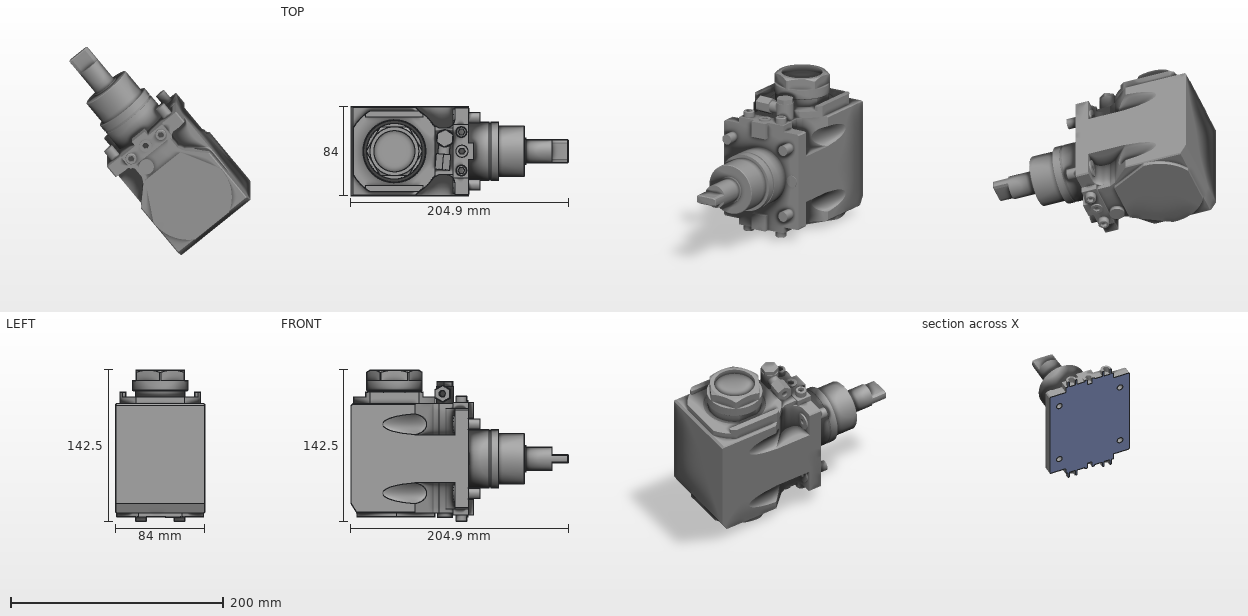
import cadquery as cq
import math


hexagon_half_angle = 30.0

housing_left = -110.5
half_width = 42.0
housing_top = 52.1
housing_bottom = -51.3
end_face_bevel = 2.0
side_bevel = 1.0
corner_cut_x = 5.6
corner_cut_z = 9.3

spindle_x = -69.6

flange_thickness = 12.7
flange_half_height = 47.2
flange_bevel = 1.2
rib_half_height = 22.5
recess_start_x = -50.3
neck_bend_x = -33.3
neck_start_x = -27.5
neck_half_width = 22.0
neck_fillet = 8.3
recess_height = 40.0

groove_radius = 10.0
groove_angle = 15.0
groove_tip_x = -80.6
groove_z = 32.5
groove_end_x = -28.0

plate_half_length = 38.3
plate_half_width = 38.1
plate_corner_radius = 44.5
plate_top = 58.2
rail_top = 62.7
rail_half_length = 27.0
rail_inner_y = 32.4
bore_radius = 29.0
bore_bevel = 0.7
bore_floor = 57.0

cover_radius = 41.0
cover_taper_start = -67.8
cover_right_half_width = 21.3
cover_left = -105.0
cover_right = -31.4
cover_bottom = -54.8

key_left = -14.6
key_half_width = 25.0
key_outer_z = 53.2
tongue_length = 5.0
tongue_half_width = 7.8
tongue_inner_z = 38.0
key_screw_x = -6.5
key_screw_y = 18.1
key_screw_radius = 5.1
key_screw_top = 59.0
key_screw_bevel = 0.5
key_socket_size = 5.5
key_socket_depth = 6.0
set_screw_x = -6.0
set_screw_radius = 5.7
set_screw_height = 1.5

dowel_y = 34.7
dowel_radius = 5.6
dowel_height = 0.6
flange_screw_y = 31.7
flange_screw_z = 32.6
flange_screw_radius = 4.9
flange_screw_length = 11.2
head_radius = 8.0
head_height = 1.5
head_socket_radius = 2.7

shank_radius = 27.5
ring_groove_radius = 26.8
ring_groove_start = 19.3
ring_groove_end = 21.4
shank_step = 28.5
pilot_radius = 24.0
pilot_end = 53.0
pilot_bevel = 0.6
collar_radius = 12.7
collar_end = 54.3
shaft_radius = 11.0
shaft_end = 79.0
tang_end = 94.4
tang_half_height = 4.1
tang_edge_half_height = 3.1
tang_flat_half_width = 7.7
tang_end_bevel = 0.8

fitting_x = -22.0
fitting_y = 12.2
banjo_radius = 8.1
banjo_top = 68.3
fitting_head_top = 72.6
fitting_head_size = 14.4
pipe_radius = 5.4
pipe_z = 61.3
pipe_angle = 5.0
pipe_nut_start = 15.0
pipe_nut_end = 29.7
pipe_nut_size = 13.6
pipe_bore_radius = 3.0
pipe_bore_depth = 12.0
plug_radius = 7.1
plug_bottom = -55.2

nut_top = 83.5
nut_hex_bottom = 73.6
nut_hex_size = 46.0
nut_corner_radius = 26.2
nut_crown_radius = 23.0
nut_crown_height = 2.0
nut_collar_bottom = 64.0
nut_collar_bevel = 0.8
nut_neck_half_width = 23.3
nut_pocket_radius = 19.4
nut_pocket_depth = 5.0


def box(x0, x1, y0, y1, z0, z1):
    return cq.Workplane("XY").box(x1 - x0, y1 - y0, z1 - z0, centered=False).translate((x0, y0, z0))


def disc(x, y, radius, z0, z1):
    return cq.Workplane("XY", origin=(x, y, z0)).circle(radius).extrude(z1 - z0)


def rod(y, z, radius, x0, x1):
    return cq.Workplane("YZ", origin=(x0, y, z)).circle(radius).extrude(x1 - x0)


def hex_corners(size):
    """Corner diameter of a hexagon of the given width across flats."""
    return size / math.cos(math.radians(hexagon_half_angle))


def make_block():
    block = box(housing_left, 0, -half_width, half_width, housing_bottom, housing_top)
    block = block.edges("|X").chamfer(side_bevel)
    block = block.faces("<X").edges(">Z").chamfer(end_face_bevel)
    corner = (
        cq.Workplane("XZ", origin=(0, half_width, 0))
        .moveTo(housing_left, housing_bottom)
        .lineTo(housing_left + corner_cut_x, housing_bottom)
        .lineTo(housing_left, housing_bottom + corner_cut_z)
        .close()
        .extrude(2 * half_width)
    )
    return block.cut(corner)


def make_side_recess():
    """Recess beside the neck, above the rib, on the -Y side."""
    bend_y = -half_width + (neck_bend_x - recess_start_x)
    flange_x = -flange_thickness
    return (
        cq.Workplane("XY", origin=(0, 0, rib_half_height))
        .moveTo(recess_start_x, -half_width)
        .lineTo(neck_bend_x, bend_y)
        .lineTo(neck_start_x, -neck_half_width)
        .lineTo(flange_x - neck_fillet, -neck_half_width)
        .radiusArc((flange_x, -neck_half_width - neck_fillet), neck_fillet)
        .lineTo(flange_x, -half_width)
        .close()
        .extrude(recess_height)
    )


def make_flange_top_step():
    """Material removed so that the flange stays lower than the block."""
    step = box(-flange_thickness, 0, -half_width, half_width, flange_half_height, housing_top)
    neck_side = box(
        -flange_thickness - neck_fillet, 0, -half_width, -neck_half_width, flange_half_height, housing_top
    )
    return step.union(neck_side).union(neck_side.mirror("XZ"))


def make_flange_bevel():
    return (
        cq.Workplane("YZ", origin=(-flange_thickness, 0, 0))
        .moveTo(-half_width, flange_half_height)
        .lineTo(-half_width + flange_bevel, flange_half_height)
        .lineTo(-half_width, flange_half_height - flange_bevel)
        .close()
        .extrude(flange_thickness)
    )


def make_tool_groove():
    """Slanted round groove that clears the driver of a flange screw."""
    slant = math.radians(groove_angle)
    axis_x = groove_tip_x + groove_radius / math.sin(slant)
    length = 2 * (axis_x - groove_tip_x)
    direction = cq.Vector(math.cos(slant), math.sin(slant), 0)
    start = cq.Vector(axis_x, -half_width, groove_z) - direction * length
    groove = cq.Workplane(cq.Solid.makeCylinder(groove_radius, 2 * length, start, direction))
    reach = box(
        groove_tip_x, groove_end_x, -half_width, -neck_half_width,
        groove_z - groove_radius, groove_z + groove_radius,
    )
    return groove.intersect(reach)


def make_cover_plate():
    height = rail_top - housing_top
    outline = cq.Workplane("XY", origin=(spindle_x, 0, housing_top)).rect(
        2 * plate_half_length, 2 * plate_half_width
    ).extrude(height)
    plate = outline.intersect(disc(spindle_x, 0, plate_corner_radius, housing_top, rail_top))
    left = spindle_x - plate_half_length
    right = spindle_x + plate_half_length
    plate = plate.cut(box(left, right, -rail_inner_y, rail_inner_y, plate_top, rail_top))
    for x0, x1 in ((left, spindle_x - rail_half_length), (spindle_x + rail_half_length, right)):
        plate = plate.cut(box(x0, x1, -plate_half_width, plate_half_width, plate_top, rail_top))
    return plate


def make_spindle_bore():
    bore = disc(spindle_x, 0, bore_radius, bore_floor, plate_top)
    lead_in = cq.Workplane(
        cq.Solid.makeCone(
            bore_radius, bore_radius + bore_bevel, bore_bevel, cq.Vector(spindle_x, 0, plate_top - bore_bevel)
        )
    )
    return bore.union(lead_in)


def make_bottom_cover():
    def rim_y(x):
        return math.sqrt(cover_radius**2 - (x - spindle_x) ** 2)

    left_y = rim_y(cover_left)
    taper_y = rim_y(cover_taper_start)
    return (
        cq.Workplane("XY", origin=(0, 0, cover_bottom))
        .moveTo(cover_left, -left_y)
        .radiusArc((cover_taper_start, -taper_y), -cover_radius)
        .lineTo(cover_right, -cover_right_half_width)
        .lineTo(cover_right, cover_right_half_width)
        .lineTo(cover_taper_start, taper_y)
        .radiusArc((cover_left, left_y), -cover_radius)
        .close()
        .extrude(housing_bottom - cover_bottom)
    )


def make_key_block():
    """Upper key block with its tongue and screws."""
    key = box(key_left, 0, -key_half_width, key_half_width, flange_half_height, key_outer_z)
    key = key.union(
        box(
            -flange_thickness, tongue_length, -tongue_half_width, tongue_half_width,
            tongue_inner_z, key_outer_z,
        )
    )
    set_screw_top = key_outer_z + set_screw_height
    key = key.union(disc(set_screw_x, 0, set_screw_radius, key_outer_z, set_screw_top))
    sockets = [(set_screw_x, 0, set_screw_top)]
    for y in (-key_screw_y, key_screw_y):
        screw = disc(key_screw_x, y, key_screw_radius, key_outer_z, key_screw_top)
        key = key.union(screw.faces(">Z").chamfer(key_screw_bevel))
        sockets.append((key_screw_x, y, key_screw_top))
    for socket in sockets:
        outline = cq.Workplane("XY", origin=socket).polygon(6, hex_corners(key_socket_size))
        key = key.cut(outline.extrude(-key_socket_depth))
    return key


def make_flange_screw(y, z):
    shaft = rod(y, z, flange_screw_radius, -flange_thickness, flange_screw_length)
    head = rod(y, z, head_radius, -flange_thickness - head_height, -flange_thickness)
    return shaft.union(head)


def make_flange_socket(y, z):
    return rod(y, z, head_socket_radius, -flange_thickness - head_height, 0)


def make_shank():
    return (
        cq.Workplane("XY")
        .moveTo(-flange_thickness, 0)
        .lineTo(-flange_thickness, shank_radius)
        .lineTo(ring_groove_start, shank_radius)
        .lineTo(ring_groove_start, ring_groove_radius)
        .lineTo(ring_groove_end, ring_groove_radius)
        .lineTo(ring_groove_end, shank_radius)
        .lineTo(shank_step, shank_radius)
        .lineTo(shank_step, pilot_radius)
        .lineTo(pilot_end - pilot_bevel, pilot_radius)
        .lineTo(pilot_end, pilot_radius - pilot_bevel)
        .lineTo(pilot_end, collar_radius)
        .lineTo(collar_end, collar_radius)
        .lineTo(collar_end, shaft_radius)
        .lineTo(shaft_end, shaft_radius)
        .lineTo(shaft_end, 0)
        .close()
        .revolve(360, (0, 0, 0), (1, 0, 0))
    )


def make_tang():
    outline = [
        (-shaft_radius, -tang_edge_half_height),
        (-tang_flat_half_width, -tang_half_height),
        (tang_flat_half_width, -tang_half_height),
        (shaft_radius, -tang_edge_half_height),
        (shaft_radius, tang_edge_half_height),
        (tang_flat_half_width, tang_half_height),
        (-tang_flat_half_width, tang_half_height),
        (-shaft_radius, tang_edge_half_height),
    ]
    section = cq.Workplane("YZ", origin=(shaft_end, 0, 0)).polyline(outline).close()
    tang = section.extrude(tang_end - shaft_end)
    tang = tang.intersect(rod(0, 0, shaft_radius, shaft_end, tang_end))
    return tang.faces(">X").chamfer(tang_end_bevel)


def make_coolant_fitting():
    banjo = disc(fitting_x, fitting_y, banjo_radius, housing_top, banjo_top)
    head = (
        cq.Workplane("XY", origin=(fitting_x, fitting_y, banjo_top))
        .transformed(rotate=(0, 0, hexagon_half_angle - pipe_angle))
        .polygon(6, hex_corners(fitting_head_size))
        .extrude(fitting_head_top - banjo_top)
    )
    slant = math.radians(pipe_angle)
    pipe_direction = cq.Vector(-math.sin(slant), -math.cos(slant), 0)
    start = cq.Vector(fitting_x, fitting_y, pipe_z)
    flat_direction = cq.Vector(0, 0, 1)

    def section(distance):
        return cq.Workplane(cq.Plane(start + pipe_direction * distance, flat_direction, pipe_direction))

    pipe = section(0).circle(pipe_radius).extrude(pipe_nut_start)
    pipe_nut = (
        section(pipe_nut_start).polygon(6, hex_corners(pipe_nut_size)).extrude(pipe_nut_end - pipe_nut_start)
    )
    pipe_bore = section(pipe_nut_end).circle(pipe_bore_radius).extrude(-pipe_bore_depth)
    return banjo.union(head).union(pipe).union(pipe_nut).cut(pipe_bore)


def make_housing():
    body = make_block()
    for cutter in (make_side_recess(), make_flange_top_step(), make_flange_bevel(), make_tool_groove()):
        for upper in (cutter, cutter.mirror("XZ")):
            body = body.cut(upper).cut(upper.mirror("XY"))
    body = body.union(make_cover_plate()).cut(make_spindle_bore()).union(make_bottom_cover())
    key = make_key_block()
    body = body.union(key).union(key.mirror("XY"))
    body = body.union(make_shank()).union(make_tang())
    for y in (-dowel_y, dowel_y):
        body = body.union(rod(y, 0, dowel_radius, -dowel_height, dowel_height))
    for y in (-flange_screw_y, flange_screw_y):
        for z in (-flange_screw_z, flange_screw_z):
            body = body.union(make_flange_screw(y, z)).cut(make_flange_socket(y, z))
    body = body.union(make_coolant_fitting())
    return body.union(disc(fitting_x, -fitting_y, plug_radius, plug_bottom, housing_bottom))


def make_clamping_nut():
    hexagon_head = (
        cq.Workplane("XY", origin=(spindle_x, 0, nut_hex_bottom))
        .polygon(6, hex_corners(nut_hex_size))
        .extrude(nut_top - nut_hex_bottom)
    )
    crown_start = nut_top - nut_crown_height
    envelope = disc(spindle_x, 0, nut_corner_radius, nut_hex_bottom, crown_start).union(
        cq.Workplane(
            cq.Solid.makeCone(
                nut_corner_radius, nut_crown_radius, nut_crown_height, cq.Vector(spindle_x, 0, crown_start)
            )
        )
    )
    head = hexagon_head.intersect(envelope)
    head = head.cut(disc(spindle_x, 0, nut_pocket_radius, nut_top - nut_pocket_depth, nut_top))
    collar = disc(spindle_x, 0, nut_corner_radius, nut_collar_bottom, nut_hex_bottom)
    collar = collar.faces("<Z").chamfer(nut_collar_bevel)
    neck_radius = nut_corner_radius - nut_collar_bevel
    neck = disc(spindle_x, 0, neck_radius, bore_floor, nut_collar_bottom).intersect(
        box(
            spindle_x - neck_radius, spindle_x + neck_radius, -nut_neck_half_width, nut_neck_half_width,
            bore_floor, nut_collar_bottom,
        )
    )
    return head.union(collar).union(neck)


housing = make_housing()
clamping_nut = make_clamping_nut()
result = cq.Compound.makeCompound([housing.val(), clamping_nut.val()])